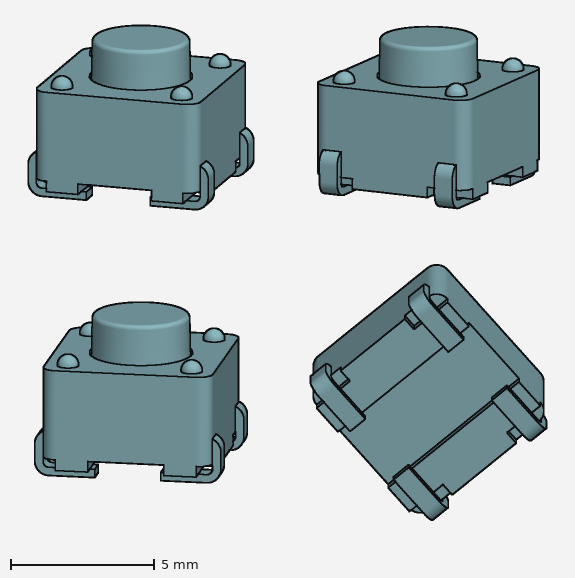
import cadquery as cq
import math

overall_length = 6.6
overall_height = 5.3
body_width = 6.0
body_top = 3.9
corner_radius = 0.5

foot_gap_width = 2.69
foot_height = 0.375
notch_length = 1.53

lead_width = 0.7
lead_pitch = 4.5
lead_gap_between_tips = 2.335
lead_bend_radius = 0.5
lead_upper_bend_center = 1.135
lead_thickness = (overall_length - body_width) / 2
lead_inner_radius = lead_bend_radius - lead_thickness

rivet_diameter = 0.75
rivet_rim_height = 0.02
rivet_pitch = 4.38

recess_diameter = 3.6
recess_depth = 1.0
button_top_diameter = 3.405
button_draft_angle = 1.1
button_edge_radius = 0.15

half_body = body_width / 2
half_length = overall_length / 2
body_bottom = lead_thickness
recess_floor = body_top - recess_depth


def make_case():
    """Square case with rounded corners, foot gap, corner notches and button recess."""
    case = (
        cq.Workplane("XY")
        .workplane(offset=body_bottom)
        .rect(body_width, body_width)
        .extrude(body_top - body_bottom)
        .edges("|Z")
        .fillet(corner_radius)
    )
    foot_gap = (
        cq.Workplane("XY")
        .workplane(offset=body_bottom)
        .rect(foot_gap_width, body_width)
        .extrude(foot_height)
    )
    corner_notches = (
        cq.Workplane("XY")
        .workplane(offset=body_bottom)
        .rect(body_width, body_width, forConstruction=True)
        .vertices()
        .rect(2 * corner_radius, 2 * notch_length)
        .extrude(foot_height)
    )
    recess = (
        cq.Workplane("XY")
        .workplane(offset=recess_floor)
        .circle(recess_diameter / 2)
        .extrude(recess_depth)
    )
    return case.cut(foot_gap).cut(corner_notches).cut(recess)


def make_lead():
    """J-shaped lead on the +X side, centred on Y = 0, folded under the case."""
    bend_center_x = half_length - lead_bend_radius
    tip_x = lead_gap_between_tips / 2
    diagonal = math.sqrt(0.5)
    outer_mid = lead_bend_radius * diagonal
    inner_mid = lead_inner_radius * diagonal

    wall_angle = math.acos((half_body - bend_center_x) / lead_bend_radius)
    upper_mid_x = bend_center_x + lead_bend_radius * math.cos(wall_angle / 2)
    upper_mid_z = lead_upper_bend_center + lead_bend_radius * math.sin(wall_angle / 2)
    lead_top = lead_upper_bend_center + lead_bend_radius * math.sin(wall_angle)

    return (
        cq.Workplane("XZ")
        .moveTo(tip_x, 0)
        .lineTo(bend_center_x, 0)
        .threePointArc(
            (bend_center_x + outer_mid, lead_bend_radius - outer_mid),
            (half_length, lead_bend_radius),
        )
        .lineTo(half_length, lead_upper_bend_center)
        .threePointArc((upper_mid_x, upper_mid_z), (half_body, lead_top))
        .lineTo(half_body, lead_bend_radius)
        .threePointArc(
            (bend_center_x + inner_mid, lead_bend_radius - inner_mid),
            (bend_center_x, lead_thickness),
        )
        .lineTo(tip_x, lead_thickness)
        .close()
        .extrude(lead_width / 2, both=True)
    )


def make_rivet_heads():
    """Four half-round heads, each on a low cylindrical rim, standing on the top face."""
    rivet_radius = rivet_diameter / 2
    head_height = rivet_rim_height + rivet_radius
    dome_mid = rivet_radius * math.sqrt(0.5)
    head = (
        cq.Workplane("XZ")
        .lineTo(rivet_radius, 0)
        .lineTo(rivet_radius, rivet_rim_height)
        .threePointArc((dome_mid, rivet_rim_height + dome_mid), (0, head_height))
        .close()
        .revolve(360, (0, 0), (0, 1))
        .val()
    )
    return (
        cq.Workplane("XY")
        .workplane(offset=body_top)
        .rect(rivet_pitch, rivet_pitch, forConstruction=True)
        .vertices()
        .eachpoint(lambda place: head.located(place))
    )


def make_housing():
    """Case with its four leads and four rivet heads as one solid."""
    body = make_case().union(make_rivet_heads())
    right_lead = make_lead()
    left_lead = right_lead.mirror("YZ")
    for lead in (left_lead, right_lead):
        for side in (-1, 1):
            body = body.union(lead.translate((0, side * lead_pitch / 2, 0)))
    return body


def make_button():
    """Slightly tapered round button standing on the floor of the recess."""
    button_height = overall_height - recess_floor
    taper_growth = button_height * math.tan(math.radians(button_draft_angle))
    return (
        cq.Workplane("XY")
        .workplane(offset=recess_floor)
        .circle(button_top_diameter / 2 + taper_growth)
        .extrude(button_height, taper=button_draft_angle)
        .faces(">Z")
        .edges()
        .fillet(button_edge_radius)
    )


housing = make_housing()
button = make_button()

result = cq.Compound.makeCompound([housing.solids().val(), button.solids().val()])